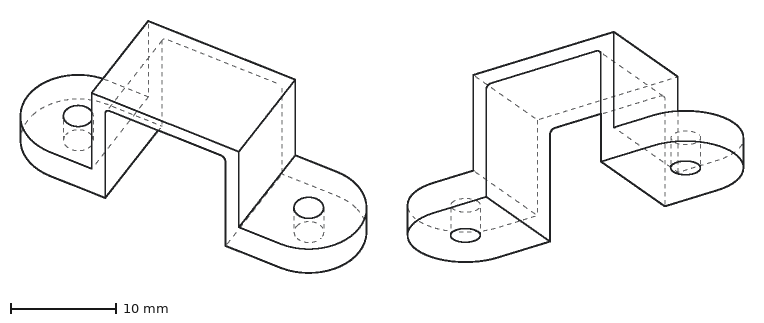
import cadquery as cq

length = 36.05
width = 11.0
height = 13.5

arch_width = 16.0
wall = 1.48
tab_thickness = 3.25
hole_diameter = 2.8
inner_corner_radius = 0.55

channel_width = arch_width - 2 * wall
channel_height = height - wall
hole_spacing = length - width


def centred_box(size_x, size_z):
    """Full-width block centred on X and Y, standing on Z = 0."""
    return cq.Workplane("XY").box(size_x, width, size_z, centered=(True, True, False))


base = cq.Workplane("XY").slot2D(length, width).extrude(tab_thickness)

channel = centred_box(channel_width, channel_height)
channel = channel.edges("|Y and >Z").fillet(inner_corner_radius)

holes = (
    cq.Workplane("XY")
    .pushPoints([(-hole_spacing / 2, 0), (hole_spacing / 2, 0)])
    .circle(hole_diameter / 2)
    .extrude(tab_thickness)
)

result = base.union(centred_box(arch_width, height)).cut(channel).cut(holes)